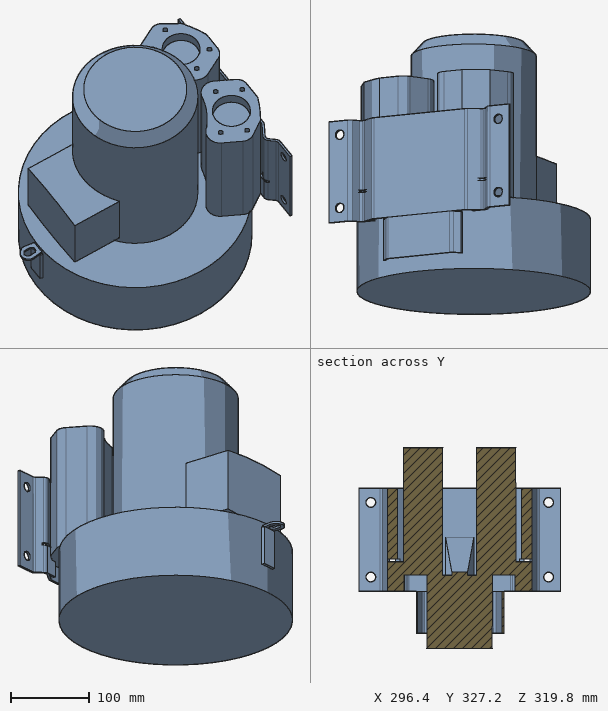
import cadquery as cq
import math

housing_radius = 148.2
housing_height = 93.4

motor_radius = 79.5
motor_top_radius = 65.3
motor_shoulder_z = 304.0
motor_top_z = 319.8

box_width = 106.4
box_face_y = -127.5
box_corner_bottom_z = 102.5
box_corner_top_z = 182.8
box_crown = 3.0

port_angle = 28.0
port_distance = 122.6
port_top_z = 255.0
port_half_width = 48.2
port_outer_radius = 159.0
port_flat_distance = 147.8
port_lobe_radius = 18.0
port_lobe_inset = 17.5
port_corner_radius = 15.0
port_bore_diameter = 48.0
port_bore_depth = 15.0
screw_circle_radius = 36.0
screw_hole_diameter = 6.0
screw_hole_depth = 15.0

sheet = 3.0
bend_radius = 6.0
flange_end_x = 127.9
flange_bend_x = 98.5
valley_outer_x = 88.5
valley_inner_x = 83.7
plate_bend_x = 66.0
tab_end_x = 70.0
flange_y = 152.3
plate_y = 151.0
valley_y = 140.6
bracket_top_z = 203.4
flange_bottom_z = 72.8
tongue_bend_x = 46.0
tongue_edge_drop = 9.0
tongue_bottom_z = 19.5
slit_z = 112.0
slit_width = 3.0
flange_hole_diameter = 12.0
flange_hole_x = 112.7
flange_hole_spacing = 94.6

brace_plate_width = 39.0
brace_front_width = 18.6
brace_front_y = 141.4
brace_top_z = 150.0

lug_tip_y = -173.4
lug_radius = 10.6
lug_neck_width = 17.5
lug_top_z = 89.0
lug_thickness = 3.0
lug_slot_width = 10.0
lug_slot_length = 16.0
lug_slot_y = -160.8
lug_arm_base_width = 22.5
lug_arm_face_width = 20.0
lug_arm_face_y = -152.0
lug_arm_bottom_z = 35.0
embed = 10.0


def make_housing():
    return cq.Workplane("XY").circle(housing_radius).extrude(housing_height)


def make_motor():
    profile = [
        (0, 0),
        (motor_radius, 0),
        (motor_radius, motor_shoulder_z),
        (motor_top_radius, motor_top_z),
        (0, motor_top_z),
    ]
    return cq.Workplane("XZ").polyline(profile).close().revolve(360, (0, 0), (0, 1))


def make_terminal_box():
    """Box with crowned top and bottom, running from the motor axis to its face."""
    half = box_width / 2
    return (
        cq.Workplane("XZ")
        .moveTo(-half, box_corner_bottom_z)
        .threePointArc((0, box_corner_bottom_z - box_crown), (half, box_corner_bottom_z))
        .lineTo(half, box_corner_top_z)
        .threePointArc((0, box_corner_top_z + box_crown), (-half, box_corner_top_z))
        .close()
        .extrude(-box_face_y)
    )


def make_port_column():
    """Port column whose middle lies on the +Y axis."""
    turn = math.radians(port_angle)
    lobe_x = port_half_width - port_lobe_radius
    lobe_y = port_distance - port_lobe_inset
    lobe_to_axis = math.hypot(lobe_x, lobe_y)
    hollow_radius = lobe_to_axis - port_lobe_radius
    tangent_x = lobe_x * hollow_radius / lobe_to_axis
    tangent_y = lobe_y * hollow_radius / lobe_to_axis
    lobe_mid_angle = math.atan2(-lobe_y, -lobe_x) / 2
    lobe_mid_x = lobe_x + port_lobe_radius * math.cos(lobe_mid_angle)
    lobe_mid_y = lobe_y + port_lobe_radius * math.sin(lobe_mid_angle)
    corner_y = (port_flat_distance - port_half_width * math.sin(turn)) / math.cos(turn)
    arc_angle = turn - math.acos(port_flat_distance / port_outer_radius)
    arc_x = port_outer_radius * math.sin(arc_angle)
    arc_y = port_outer_radius * math.cos(arc_angle)

    column = (
        cq.Workplane("XY")
        .moveTo(-tangent_x, tangent_y)
        .threePointArc((0, hollow_radius), (tangent_x, tangent_y))
        .threePointArc((lobe_mid_x, lobe_mid_y), (port_half_width, lobe_y))
        .lineTo(port_half_width, corner_y)
        .lineTo(arc_x, arc_y)
        .threePointArc((0, port_outer_radius), (-arc_x, arc_y))
        .lineTo(-port_half_width, corner_y)
        .lineTo(-port_half_width, lobe_y)
        .threePointArc((-lobe_mid_x, lobe_mid_y), (-tangent_x, tangent_y))
        .close()
        .extrude(port_top_z - housing_height)
    )
    for side in (-1, 1):
        corner = cq.selectors.NearestToPointSelector(
            (side * port_half_width, corner_y, (port_top_z - housing_height) / 2)
        )
        column = column.edges(corner).fillet(port_corner_radius)
    column = column.translate((0, 0, housing_height))

    screw_x = screw_circle_radius * math.cos(turn)
    screw_y = screw_circle_radius * math.sin(turn)
    screws = [(sx * screw_x, sy * screw_y) for sx in (-1, 1) for sy in (-1, 1)]
    top = cq.Workplane("XY", origin=(0, port_distance, port_top_z))
    bore = top.circle(port_bore_diameter / 2).extrude(-port_bore_depth)
    holes = top.pushPoints(screws).circle(screw_hole_diameter / 2).extrude(-screw_hole_depth)
    return column.cut(bore).cut(holes)


def bent_sheet(points, bottom_z, top_z):
    """Upright sheet following a bent centre line, with round bends."""
    line = cq.Wire.makePolygon([cq.Vector(x, y, bottom_z) for x, y in points])
    line = line.fillet(bend_radius)
    start_x, start_y = points[0]
    height = top_z - bottom_z
    section = cq.Workplane("YZ", origin=(start_x, start_y, bottom_z + height / 2))
    return section.rect(sheet, height).sweep(cq.Workplane(line))


def make_bracket():
    flange_half = [
        (-flange_end_x, flange_y),
        (-flange_bend_x, flange_y),
        (-valley_outer_x, valley_y),
    ]
    slope_half = [(-valley_inner_x, valley_y), (-plate_bend_x, plate_y)]
    left_half = flange_half + slope_half
    right_half = [(-x, y) for x, y in reversed(left_half)]
    bracket = bent_sheet(left_half + right_half, flange_bottom_z, bracket_top_z)

    tongue_edge_x = tongue_bend_x + tongue_edge_drop
    tongue = [
        (-tongue_edge_x, plate_y - tongue_edge_drop),
        (-tongue_bend_x, plate_y),
        (tongue_bend_x, plate_y),
        (tongue_edge_x, plate_y - tongue_edge_drop),
    ]
    bracket = bracket.union(bent_sheet(tongue, tongue_bottom_z, flange_bottom_z))

    slit_end_x = valley_outer_x + sheet
    slit_length = slit_end_x - tab_end_x
    slit_depth = 2 * sheet
    for side in (-1, 1):
        slit = cq.Workplane("XY").box(slit_length, slit_depth, slit_width)
        slit_x = side * (slit_end_x - slit_length / 2)
        bracket = bracket.cut(slit.translate((slit_x, valley_y, slit_z)))

    tab_start_x = (valley_outer_x + valley_inner_x) / 2
    tab_length = tab_start_x - tab_end_x
    tab_height = slit_z - slit_width / 2 - flange_bottom_z
    for side in (-1, 1):
        tab = cq.Workplane("XY").box(tab_length, sheet, tab_height, centered=(True, True, False))
        tab_x = side * (tab_start_x + tab_end_x) / 2
        bracket = bracket.union(tab.translate((tab_x, valley_y, flange_bottom_z)))

    hole_middle_z = (bracket_top_z + flange_bottom_z) / 2
    holes = (
        cq.Workplane("XZ", origin=(0, flange_y + sheet, hole_middle_z))
        .rarray(2 * flange_hole_x, flange_hole_spacing, 2, 2)
        .circle(flange_hole_diameter / 2)
        .extrude(2 * sheet)
    )
    return bracket.cut(holes)


def make_brace():
    """Wedge standing on the housing, its steep face leaning back to the plate."""
    front = brace_front_width / 2
    back = brace_plate_width / 2
    footprint = [(-back, plate_y), (-front, brace_front_y), (front, brace_front_y), (back, plate_y)]
    prism = (
        cq.Workplane("XY", origin=(0, 0, housing_height))
        .polyline(footprint)
        .close()
        .extrude(brace_top_z - housing_height)
    )
    side_profile = [(brace_front_y, housing_height), (plate_y, housing_height), (plate_y, brace_top_z)]
    wedge = cq.Workplane("YZ").polyline(side_profile).close().extrude(back, both=True)
    return prism.intersect(wedge)


def make_lug():
    head_y = lug_tip_y + lug_radius
    root_y = -housing_radius
    neck = lug_neck_width / 2
    head = (
        cq.Workplane("XY")
        .moveTo(-neck, root_y + embed)
        .lineTo(-neck, root_y)
        .lineTo(-lug_radius, head_y)
        .threePointArc((0, lug_tip_y), (lug_radius, head_y))
        .lineTo(neck, root_y)
        .lineTo(neck, root_y + embed)
        .close()
        .extrude(lug_thickness)
    )
    slot = (
        cq.Workplane("XY", origin=(0, lug_slot_y, 0))
        .slot2D(lug_slot_length, lug_slot_width, 90)
        .extrude(lug_thickness)
    )
    head = head.cut(slot).translate((0, 0, lug_top_z - lug_thickness))

    base = lug_arm_base_width / 2
    face = lug_arm_face_width / 2
    arm = (
        cq.Workplane("XY", origin=(0, 0, lug_arm_bottom_z))
        .moveTo(-base, root_y + embed)
        .lineTo(-base, root_y)
        .lineTo(-face, lug_arm_face_y)
        .lineTo(face, lug_arm_face_y)
        .lineTo(base, root_y)
        .lineTo(base, root_y + embed)
        .close()
        .extrude(lug_top_z - lug_thickness - lug_arm_bottom_z)
    )
    return head.union(arm)


result = make_housing().union(make_motor()).union(make_terminal_box())
for angle in (-port_angle, port_angle):
    result = result.union(make_port_column().rotate((0, 0, 0), (0, 0, 1), angle))
result = result.union(make_brace()).union(make_bracket()).union(make_lug())